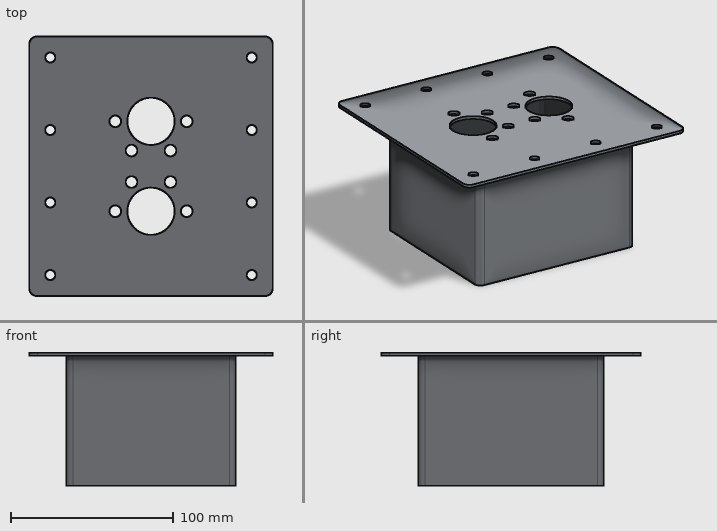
import cadquery as cq

plate_width = 150.0
plate_length = 160.0
plate_thickness = 2.0
plate_corner_radius = 5.0

total_height = 82.0
box_width = 104.5
box_length = 114.2
box_corner_radius = 4.2
wall_thickness = 2.0
box_height = total_height - plate_thickness

mount_diameter = 6.0
mount_column_spacing = 124.0
mount_pitch = 44.6
mounts_per_column = 4

opening_diameter = 29.0
opening_spacing = 55.4
screw_diameter = 7.0
side_screw_spacing = 44.0
inner_screw_spacing_x = 24.0
inner_screw_spacing_y = 19.4


def make_plate():
    """Rounded plate with its underside at Z = 0."""
    return (
        cq.Workplane("XY")
        .rect(plate_width, plate_length)
        .extrude(plate_thickness)
        .edges("|Z")
        .fillet(plate_corner_radius)
    )


def make_rounded_column(width, length, radius):
    """Rounded column reaching from the plate underside to the open end."""
    return (
        cq.Workplane("XY")
        .rect(width, length)
        .extrude(-box_height)
        .edges("|Z")
        .fillet(radius)
    )


def make_box_walls():
    """Four walls of even thickness with rounded corners."""
    outer = make_rounded_column(box_width, box_length, box_corner_radius)
    cavity = make_rounded_column(
        box_width - 2 * wall_thickness,
        box_length - 2 * wall_thickness,
        box_corner_radius - wall_thickness,
    )
    return outer.cut(cavity)


def make_hole_grid(diameter, pitch_x, pitch_y, columns, rows):
    """Cutters for a centred grid of holes through the plate."""
    return (
        cq.Workplane("XY")
        .rarray(pitch_x, pitch_y, columns, rows)
        .circle(diameter / 2)
        .extrude(plate_thickness)
    )


plate = make_plate()
hole_grids = [
    (mount_diameter, mount_column_spacing, mount_pitch, 2, mounts_per_column),
    (opening_diameter, plate_width, opening_spacing, 1, 2),
    (screw_diameter, side_screw_spacing, opening_spacing, 2, 2),
    (screw_diameter, inner_screw_spacing_x, inner_screw_spacing_y, 2, 2),
]
for grid in hole_grids:
    plate = plate.cut(make_hole_grid(*grid))

result = plate.union(make_box_walls())